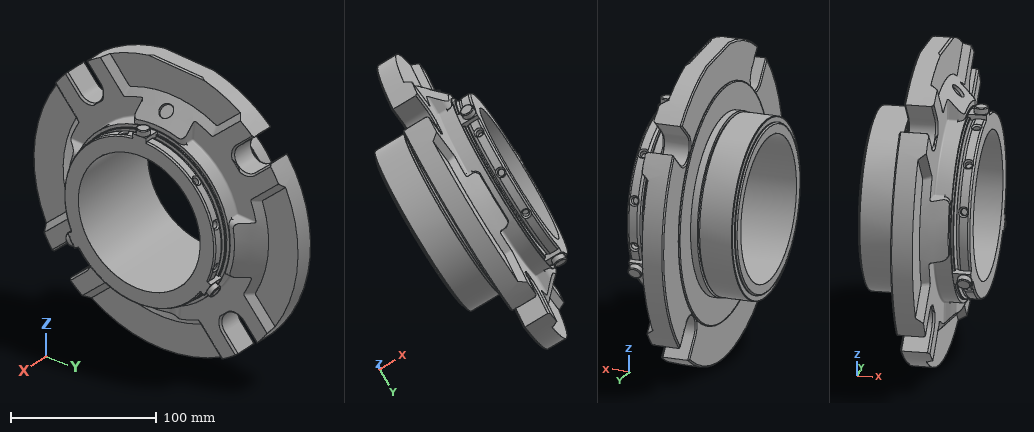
import cadquery as cq
import math

body_front_x = 1.7
groove_start_x = 25.7
groove_end_x = 27.2
raised_face_x = 32.2
flange_front_x = 33.3
flange_back_x = 48.8
boss_face_x = 54.1
pad_end_x = 65.6
short_pad_end_x = 62.2
hub_end_x = 66.4
end_ring_x = 68.1
collar_front_x = 69.9
collar_back_x = 79.3

bore_radius = 105 / 2
sleeve_radius = 111.1 / 2
lip_radius = 120.62 / 2
groove_radius = 125.65 / 2
body_radius = 128.91 / 2
collar_radius = 130.12 / 2
shoulder_radius = 130.12 / 2
end_ring_radius = 131.65 / 2
hub_radius = 68.2
cone_radius = 83.3
raised_face_radius = 85.4
flange_radius = 113.9
cone_base_radius = cone_radius + boss_face_x - flange_back_x

lip_chamfer = 1.0
body_chamfer = 0.5
raised_face_chamfer = 0.7
flange_chamfer = 1.0
pocket_fillet = 1.5
end_ring_chamfer = 0.5
collar_front_chamfer = (2.0, 0.8)
collar_back_chamfer = (1.5, 0.8)

gland_angle = -4.65
pad_to_slot_angle = 45
pad_angles = [gland_angle + 90 * i for i in range(4)]
slot_angles = [angle + pad_to_slot_angle for angle in pad_angles]
short_pad_index = 2

flat_half_width = 21.2
flat_distance = math.sqrt(flange_radius**2 - flat_half_width**2)
flat_back_chamfer = (1.8, 0.6)

slot_width = 21.6
slot_centre_radius = 95.7
slot_front_chamfer = 1.0
slot_back_chamfer = 1.5
boss_half_width = 25.4
boss_base_half_width = 30.1
boss_root_fillet = 2.5

pad_half_width = 22.0
pad_corner_radius = 4.2

port_diameter = 11
port_depth = 2.4
port_x = 57.2

clip_angles = [0, 120, 240]
clip_width = 11.7
clip_inner_radius = 63.6
clip_outer_radius = 67.8
screw_x = 74.63
screw_head_diameter = 10
screw_head_top_radius = 72.4
screw_head_chamfer = 0.7

set_screw_angles = [clip + step for clip in clip_angles for step in (15, 45, 75)]
set_screw_diameter = 5
set_screw_mouth_diameter = 7.5
set_screw_depth = 5.0


def turned(points):
    """Solid of revolution about X from (x, radius) points closed down to the axis."""
    return cq.Workplane("XY").polyline(points).close().revolve(360, (0, 0, 0), (1, 0, 0))


def at_angle(shape, angle):
    """Turn a feature built on the +Z side about the X axis (positive from +Z to -Y)."""
    return shape.rotate((0, 0, 0), (1, 0, 0), angle)


def radial_plane(x, radius):
    """Workplane at a point on the +Z side, its normal pointing outwards."""
    return cq.Workplane("XY", origin=(x, 0, radius))


def cylinder(start_x, end_x, radius):
    return cq.Workplane("YZ", origin=(start_x, 0, 0)).circle(radius).extrude(end_x - start_x)


def make_flange():
    """Flange disc with slot bosses, flat on the rim and a chamfered front edge."""
    disc = cylinder(flange_front_x, flange_back_x, flange_radius)
    boss = (
        cq.Workplane("XY")
        .polyline([
            (flange_back_x, -boss_base_half_width),
            (boss_face_x, -boss_half_width),
            (boss_face_x, boss_half_width),
            (flange_back_x, boss_base_half_width),
        ])
        .close()
        .extrude(2 * flange_radius)
        .translate((0, 0, hub_radius))
    )
    bosses = at_angle(boss, slot_angles[0])
    for angle in slot_angles[1:]:
        bosses = bosses.union(at_angle(boss, angle))
    rim = cylinder(flange_front_x, boss_face_x, flange_radius)
    rim = rim.cut(cylinder(flange_front_x, boss_face_x, hub_radius))
    flange = disc.union(bosses.intersect(rim))

    back_axial, back_radial = flat_back_chamfer
    flat_cut = (
        cq.Workplane("XZ", origin=(0, flange_radius, 0))
        .polyline([
            (flange_front_x, flat_distance - flange_chamfer),
            (flange_front_x + flange_chamfer, flat_distance),
            (flange_back_x - back_axial, flat_distance),
            (flange_back_x, flat_distance - back_radial),
            (flange_back_x, 2 * flat_distance),
            (flange_front_x, 2 * flat_distance),
        ])
        .close()
        .extrude(2 * flange_radius)
    )
    flange = flange.cut(at_angle(flat_cut, gland_angle))
    return flange.intersect(turned([
        (flange_front_x, 0),
        (flange_front_x, flange_radius - flange_chamfer),
        (flange_front_x + flange_chamfer, flange_radius),
        (boss_face_x, flange_radius),
        (boss_face_x, 0),
    ]))


def fillet_boss_roots(shape):
    """Blend the side walls of the bosses into the 45-degree cone of the hub."""
    middle_x = (flange_back_x + boss_face_x) / 2
    half_width = (boss_half_width + boss_base_half_width) / 2
    height = math.sqrt(((cone_radius + cone_base_radius) / 2)**2 - half_width**2)
    side_angle = math.degrees(math.atan2(half_width, height))
    distance = math.hypot(half_width, height)
    edges = cq.Workplane("XY").newObject([])
    for angle in slot_angles:
        for side in (-side_angle, side_angle):
            turn = math.radians(angle + side)
            spot = (middle_x, -distance * math.sin(turn), distance * math.cos(turn))
            edges = edges.add(shape.edges(cq.selectors.NearestToPointSelector(spot)))
    return shape.newObject(edges.vals()).fillet(boss_root_fillet)


def slot_section(x, margin):
    """Open-ended slot outline on the plane at x, enlarged all round by margin."""
    half_width = slot_width / 2 + margin
    outer = 1.5 * flange_radius
    return (
        cq.Workplane("YZ", origin=(x, 0, 0))
        .moveTo(-half_width, outer)
        .lineTo(-half_width, slot_centre_radius)
        .threePointArc((0, slot_centre_radius - half_width), (half_width, slot_centre_radius))
        .lineTo(half_width, outer)
        .close()
    )


def make_slot():
    """Bolt slot with both mouths chamfered; its floor stays outside the raised face."""
    slot = slot_section(flange_front_x, 0).extrude(boss_face_x - flange_front_x)
    front_mouth = slot_section(flange_front_x, slot_front_chamfer).extrude(slot_front_chamfer, taper=45)
    back_mouth = slot_section(boss_face_x, slot_back_chamfer).extrude(-slot_back_chamfer, taper=45)
    slot = slot.union(front_mouth).union(back_mouth)
    return slot.cut(cylinder(flange_front_x, boss_face_x, raised_face_radius - raised_face_chamfer))


def make_pocket():
    """Pocket between two pads, centred on a slot, with filleted floor and side walls."""
    length = hub_end_x - boss_face_x
    quarter = (
        cq.Workplane("XY", origin=(boss_face_x, pad_half_width, pad_half_width))
        .box(length, cone_base_radius, cone_base_radius, centered=False)
    )
    pocket = quarter.cut(cylinder(boss_face_x, hub_end_x, hub_radius))
    floor_middle = hub_radius * math.sqrt(0.5)
    hub_edge = cq.selectors.NearestToPointSelector((boss_face_x, floor_middle, floor_middle))
    middle_x = boss_face_x + length / 2
    wall_foot = math.sqrt(hub_radius**2 - pad_half_width**2)
    side_edges = [
        cq.selectors.NearestToPointSelector((middle_x, pad_half_width, wall_foot)),
        cq.selectors.NearestToPointSelector((middle_x, wall_foot, pad_half_width)),
    ]
    wall_middle = (wall_foot + pad_half_width + cone_base_radius) / 2
    floor_edges = [
        cq.selectors.NearestToPointSelector((boss_face_x, pad_half_width, wall_middle)),
        cq.selectors.NearestToPointSelector((boss_face_x, wall_middle, pad_half_width)),
    ]
    edges = pocket.edges(hub_edge)
    for selector in side_edges + floor_edges:
        edges = edges.add(pocket.edges(selector))
    return at_angle(edges.fillet(pocket_fillet), pad_to_slot_angle)


def make_pad_trim(end_x):
    """Material to remove so that a pad ends at end_x with rounded end corners."""
    half_width = pad_half_width + pocket_fillet
    trim = (
        cq.Workplane("XY")
        .center((end_x - pad_corner_radius + hub_end_x) / 2, 0)
        .rect(hub_end_x - end_x + pad_corner_radius, 2 * half_width)
        .extrude(cone_base_radius)
    )
    pad = (
        cq.Workplane("XY")
        .center((end_x + boss_face_x) / 2, 0)
        .rect(end_x - boss_face_x, 2 * pad_half_width)
        .extrude(cone_base_radius)
        .edges("|Z and >X")
        .fillet(pad_corner_radius)
    )
    return trim.cut(pad).cut(cylinder(boss_face_x, hub_end_x, hub_radius))


def make_port():
    """Blind port drilled square to the 45-degree cone of the top pad."""
    port_radius = cone_radius - (port_x - boss_face_x)
    mouth = cq.Plane(origin=(port_x, 0, port_radius), xDir=(0, 1, 0), normal=(1, 0, 1))
    port = cq.Workplane(mouth).circle(port_diameter / 2).extrude(2 * port_depth, both=True)
    floor = cq.Workplane(mouth).workplane(offset=-port_depth).rect(2 * port_diameter, 2 * port_diameter)
    return port.cut(floor.extrude(-2 * port_depth))


def make_body():
    """Sleeve, stationary body, raised face, hub with its full 45-degree cone and the end ring."""
    sleeve = cylinder(0, collar_back_x, sleeve_radius)
    front = turned([
        (0, 0),
        (0, lip_radius - lip_chamfer),
        (lip_chamfer, lip_radius),
        (body_front_x, lip_radius),
        (body_front_x, body_radius - body_chamfer),
        (body_front_x + body_chamfer, body_radius),
        (groove_start_x, body_radius),
        (groove_start_x, groove_radius),
        (groove_end_x, groove_radius),
        (groove_end_x, shoulder_radius),
        (raised_face_x, shoulder_radius),
        (raised_face_x, raised_face_radius - raised_face_chamfer),
        (raised_face_x + raised_face_chamfer, raised_face_radius),
        (flange_front_x, raised_face_radius),
        (flange_front_x, 0),
    ])
    cone_end_radius = cone_radius - (hub_end_x - boss_face_x)
    hub = turned([
        (flange_front_x, 0),
        (flange_front_x, raised_face_radius),
        (flange_back_x, raised_face_radius),
        (flange_back_x, cone_base_radius),
        (hub_end_x, cone_end_radius),
        (hub_end_x, end_ring_radius),
        (end_ring_x - end_ring_chamfer, end_ring_radius),
        (end_ring_x, end_ring_radius - end_ring_chamfer),
        (end_ring_x, 0),
    ])
    return sleeve.union(front).union(hub)


def make_collar():
    """Drive collar with chamfered rims and a ring of set-screw holes."""
    front_axial, front_radial = collar_front_chamfer
    back_axial, back_radial = collar_back_chamfer
    collar = turned([
        (collar_front_x, 0),
        (collar_front_x, collar_radius - front_radial),
        (collar_front_x + front_axial, collar_radius),
        (collar_back_x - back_axial, collar_radius),
        (collar_back_x, collar_radius - back_radial),
        (collar_back_x, 0),
    ])
    countersink_depth = (set_screw_mouth_diameter - set_screw_diameter) / 2
    hole = radial_plane(screw_x, collar_radius).circle(set_screw_diameter / 2).extrude(-set_screw_depth)
    countersink = (
        radial_plane(screw_x, collar_radius)
        .circle(set_screw_mouth_diameter / 2)
        .extrude(-countersink_depth, taper=45)
    )
    hole = hole.union(countersink)
    for angle in set_screw_angles:
        collar = collar.cut(at_angle(hole, angle))
    return collar


def make_clip():
    """Setting clip bridging the hub and the collar, held by a screw with a round head."""
    block = (
        cq.Workplane("XY", origin=((hub_end_x + collar_back_x) / 2, 0, clip_inner_radius))
        .rect(collar_back_x - hub_end_x, clip_width)
        .extrude(clip_outer_radius - clip_inner_radius)
    )
    head = (
        radial_plane(screw_x, clip_outer_radius)
        .circle(screw_head_diameter / 2)
        .extrude(screw_head_top_radius - clip_outer_radius)
        .faces(">Z")
        .chamfer(screw_head_chamfer)
    )
    return block.union(head)


body = make_body()
pocket = make_pocket()
for index, angle in enumerate(pad_angles):
    pad_trim = make_pad_trim(short_pad_end_x if index == short_pad_index else pad_end_x)
    body = body.cut(at_angle(pad_trim, angle))
    body = body.cut(at_angle(pocket, angle + pad_to_slot_angle))

result = fillet_boss_roots(body.union(make_flange()))
slot = make_slot()
for angle in slot_angles:
    result = result.cut(at_angle(slot, angle))
result = result.cut(at_angle(make_port(), gland_angle))

result = result.union(make_collar())
for angle in clip_angles:
    result = result.union(at_angle(make_clip(), angle))
result = result.cut(cylinder(0, collar_back_x, bore_radius))